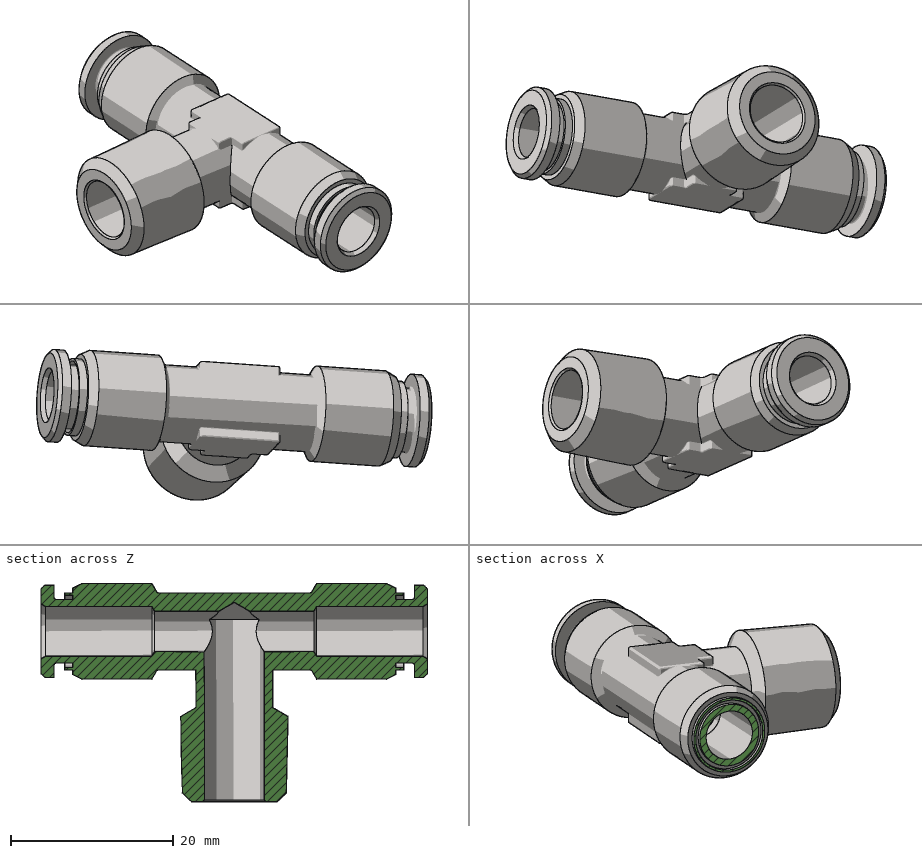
import cadquery as cq
import math

overall_length = 47.6
half_length = overall_length / 2
tube_radius = 4.75
flange_radius = 5.7
flange_width = 1.6
flange_chamfer = 0.48
neck_radius = 3.95
neck_root_radius = 0.3
neck_groove_end = 2.9
collar_mouth_radius = 4.45
collar_end = 3.9
body_radius = 5.9
body_lead_radius = 5.35
body_lead_end = 5.05
body_end = 13.65
body_taper_end = 14.35
body_foot_radius = 0.2

drill_tip_angle = 120.0
drill_tip_slope = 1 / math.tan(math.radians(drill_tip_angle / 2))

flow_radius = 2.48
socket_radius = 3.05
socket_mouth_radius = 3.4
socket_mouth_depth = 0.55
socket_depth = body_end

port_neck_radius = 4.75
port_shoulder_start = 9.4
port_shoulder_end = 10.45
port_large_diameter = 13.3
port_large_radius = port_large_diameter / 2
port_small_radius = 6.43
port_chamfer_start = 19.9
port_end = 21.0
port_face_radius = 5.3

port_bore_radius = 3.65
port_bore_chamfer = 0.25
drill_tip_y = 3.55

pad_height = 4.9
pad_half_width = 5.1
pad_back = 3.1
pad_shoulder = 3.0
pad_stem_half_width = 3.05
pad_front = 5.05
pad_edge_radius = 0.3
pad_foot_radius = 0.15

contact_tolerance = 0.0005


def round_circles(run, x, circle_radius, fillet_radius):
    """Fillet the circular edges of the given radius at stations x and -x."""

    def is_target(edge):
        error = max(abs(edge.radius() - circle_radius), abs(abs(edge.Center().x) - x))
        return error < contact_tolerance

    return run.edges("%CIRCLE").filter(is_target).fillet(fillet_radius)


def make_run():
    """Straight run with a tube connector at each end, revolved about X."""
    right_profile = [
        (half_length - body_taper_end, tube_radius),
        (half_length - body_end, body_radius),
        (half_length - body_lead_end, body_radius),
        (half_length - collar_end, body_lead_radius),
        (half_length - collar_end, tube_radius),
        (half_length - neck_groove_end, tube_radius),
        (half_length - neck_groove_end, collar_mouth_radius),
        (half_length - collar_end, collar_mouth_radius),
        (half_length - collar_end, neck_radius),
        (half_length - flange_width, neck_radius),
        (half_length - flange_width, flange_radius),
        (half_length - flange_chamfer, flange_radius),
        (half_length, flange_radius - flange_chamfer),
        (half_length, 0),
    ]
    left_profile = [(-x, radius) for x, radius in reversed(right_profile)]
    outline = cq.Workplane("XY").polyline(left_profile + right_profile).close()
    run = outline.revolve(360, (0, 0, 0), (1, 0, 0))
    run = round_circles(run, half_length - body_taper_end, tube_radius, body_foot_radius)
    return round_circles(run, half_length - flange_width, neck_radius, neck_root_radius)


def make_arm_bore():
    """Stepped bore of the right-hand arm of the run, with a chamfered mouth."""
    socket_floor = half_length - socket_depth
    floor_taper = drill_tip_slope * (socket_radius - flow_radius)
    return (
        cq.Workplane("XY")
        .moveTo(0, 0)
        .lineTo(half_length, 0)
        .lineTo(half_length, socket_mouth_radius)
        .lineTo(half_length - socket_mouth_depth, socket_radius)
        .lineTo(socket_floor, socket_radius)
        .lineTo(socket_floor - floor_taper, flow_radius)
        .lineTo(0, flow_radius)
        .close()
        .revolve(360, (0, 0, 0), (1, 0, 0))
    )


def make_port():
    """Neck and tapered thread body, revolved about Y."""
    return (
        cq.Workplane("XY")
        .moveTo(0, 0)
        .lineTo(port_neck_radius, 0)
        .lineTo(port_neck_radius, -port_shoulder_start)
        .lineTo(port_large_radius, -port_shoulder_end)
        .lineTo(port_small_radius, -port_chamfer_start)
        .lineTo(port_face_radius, -port_end)
        .lineTo(0, -port_end)
        .close()
        .revolve(360, (0, 0, 0), (0, 1, 0))
    )


def make_port_bore():
    """Blind drilled hole with a conical end and a chamfered mouth."""
    tip_length = drill_tip_slope * port_bore_radius
    return (
        cq.Workplane("XY")
        .moveTo(0, drill_tip_y)
        .lineTo(port_bore_radius, drill_tip_y - tip_length)
        .lineTo(port_bore_radius, port_bore_chamfer - port_end)
        .lineTo(port_bore_radius + port_bore_chamfer, -port_end)
        .lineTo(0, -port_end)
        .close()
        .revolve(360, (0, 0, 0), (0, 1, 0))
    )


def make_pads():
    """T-shaped block through the junction; its two faces are the pads."""
    return (
        cq.Workplane("XY")
        .workplane(offset=-pad_height)
        .moveTo(-pad_half_width, pad_back)
        .lineTo(pad_half_width, pad_back)
        .lineTo(pad_half_width, -pad_shoulder)
        .lineTo(pad_stem_half_width, -pad_shoulder)
        .lineTo(pad_stem_half_width, -pad_front)
        .lineTo(-pad_stem_half_width, -pad_front)
        .lineTo(-pad_stem_half_width, -pad_shoulder)
        .lineTo(-pad_half_width, -pad_shoulder)
        .close()
        .extrude(2 * pad_height)
        .edges("|Z")
        .fillet(pad_edge_radius)
        .faces("<Z or >Z")
        .edges()
        .fillet(pad_edge_radius)
    )


def round_pad_feet(body, tubes, pads):
    """Fillet every edge where the pads meet the round tubes."""

    def is_foot(edge):
        middle = cq.Vertex.makeVertex(*edge.positionAt(0.5).toTuple())
        return all(middle.distance(solid.val()) < contact_tolerance for solid in (tubes, pads))

    return body.edges().filter(is_foot).fillet(pad_foot_radius)


arm_bore = make_arm_bore()
tubes = make_run().union(make_port())
pads = make_pads()
body = round_pad_feet(tubes.union(pads), tubes, pads)
result = body.cut(arm_bore).cut(arm_bore.mirror("YZ")).cut(make_port_bore())